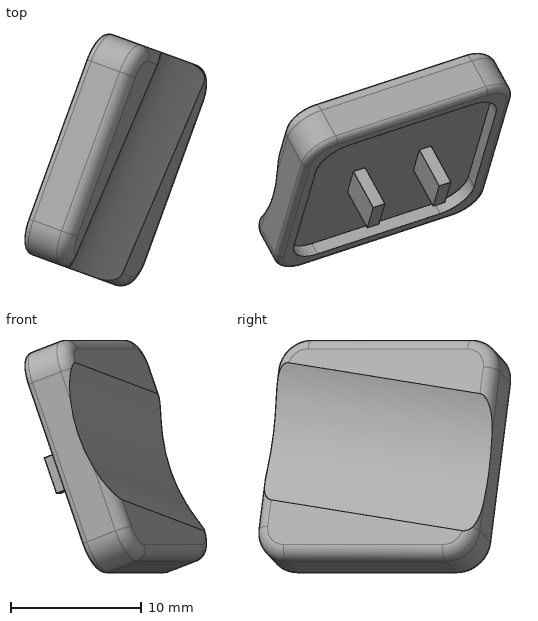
import cadquery as cq

CAP_SIDE = 17.99
CAP_THICKNESS = 3.98
CORNER_RADIUS = 2.5
TOP_FILLET = 1.0
BOTTOM_FILLET = 0.5

DISH_CHORD = 11.06
DISH_DEPTH = 1.33
DISH_SKEW = -9

RECESS_SIDE = 15.59
RECESS_RADIUS = 2.5
RECESS_DEPTH = 1.0

STEM_WIDTH = 1.0
STEM_HEIGHT = 2.9
STEM_LENGTH = 3.5
STEM_SPACING = 5.7

PIVOT = (0, 0, 0)
TILT_ABOUT_Y = -20
TURN_ABOUT_Z = -20


def rounded_plate(side, corner_radius, thickness):
    """Square plate with rounded corners, from X = 0 to X = thickness."""
    plate = cq.Workplane("YZ").rect(side, side).extrude(thickness)
    return plate.edges("|X").fillet(corner_radius)


def dish_cutter():
    """Cylinder along Y whose arc sinks DISH_DEPTH into the top face."""
    half_chord = DISH_CHORD / 2
    radius = (half_chord**2 + DISH_DEPTH**2) / (2 * DISH_DEPTH)
    axis_x = CAP_THICKNESS - DISH_DEPTH + radius
    profile = cq.Workplane("XZ").center(axis_x, 0).circle(radius)
    cylinder = profile.extrude(CAP_SIDE, both=True)
    return cylinder.rotate(PIVOT, (1, 0, 0), DISH_SKEW)


def stems():
    """Two rectangular prongs standing on the recess floor, pointing to -X."""
    centers = [(-STEM_SPACING / 2, 0), (STEM_SPACING / 2, 0)]
    floor = cq.Workplane("YZ", origin=(RECESS_DEPTH, 0, 0))
    return floor.pushPoints(centers).rect(STEM_WIDTH, STEM_HEIGHT).extrude(-STEM_LENGTH)


cap = rounded_plate(CAP_SIDE, CORNER_RADIUS, CAP_THICKNESS)
cap = cap.faces(">X").edges().fillet(TOP_FILLET)
cap = cap.faces("<X").edges().fillet(BOTTOM_FILLET)
cap = cap.cut(dish_cutter())
cap = cap.cut(rounded_plate(RECESS_SIDE, RECESS_RADIUS, RECESS_DEPTH))
cap = cap.union(stems())

result = cap.rotate(PIVOT, (0, 1, 0), TILT_ABOUT_Y).rotate(PIVOT, (0, 0, 1), TURN_ABOUT_Z)